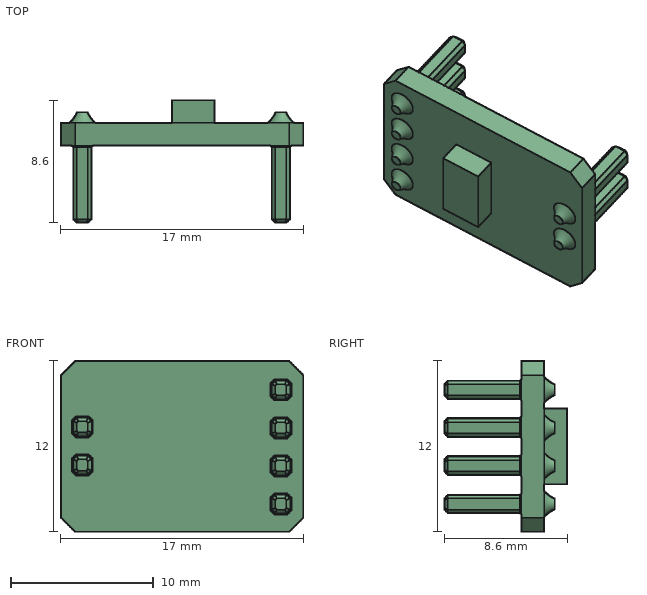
import cadquery as cq

board_length = 17.0
board_height = 12.0
board_thickness = 1.6
board_corner = 1.0
front_y = -board_thickness / 2
back_y = board_thickness / 2

block_length = 3.0
block_depth = 1.6
block_height = 5.32
block_x = 0.78

pin_width = 1.3
pin_length = 5.4
pin_chamfer = 0.25
foot_flare = 0.1
foot_flare_angle = 45

cone_base_radius = 0.92
cone_top_radius = 0.37
cone_height = 0.75
flank_radius = 2.04

pin_pitch = 2.67
left_column_x = -7.0
right_column_x = 6.92
left_column_z = 0.03
right_column_z = -0.03
left_column_count = 2
right_column_count = 4


def column_positions(x, middle_z, count):
    """Points of one vertical column of pins, spread evenly about its middle."""
    lowest_z = middle_z - pin_pitch * (count - 1) / 2
    return [(x, lowest_z + i * pin_pitch) for i in range(count)]


def make_board():
    board = cq.Workplane("XY").box(board_length, board_thickness, board_height)
    return board.edges("|Y").chamfer(board_corner)


def make_block():
    block_y = back_y + block_depth / 2
    block = cq.Workplane("XY").box(block_length, block_depth, block_height)
    return block.translate((block_x, block_y, 0))


def make_pin(x, z):
    """Pin with chamfered edges and tip, and a small flare at its foot."""
    pin_y = front_y - pin_length / 2
    shaft = (
        cq.Workplane("XY")
        .box(pin_width, pin_length, pin_width)
        .edges("|Y")
        .chamfer(pin_chamfer)
    )
    foot = (
        shaft.faces(">Y")
        .wires()
        .toPending()
        .offset2D(foot_flare, "intersection")
        .extrude(-foot_flare, taper=foot_flare_angle, combine=False)
    )
    pin = shaft.faces("<Y").chamfer(pin_chamfer).union(foot)
    return pin.translate((x, pin_y, z))


def make_cone(x, z):
    """Solder cone turned about the pin axis."""
    top_y = back_y + cone_height
    profile = (
        cq.Workplane("XY")
        .moveTo(0, back_y)
        .lineTo(cone_base_radius, back_y)
        .radiusArc((cone_top_radius, top_y), flank_radius)
        .lineTo(0, top_y)
        .close()
    )
    cone = profile.revolve(360, (0, 0, 0), (0, 1, 0))
    return cone.translate((x, 0, z))


result = make_board().union(make_block())
pin_positions = column_positions(left_column_x, left_column_z, left_column_count)
pin_positions += column_positions(right_column_x, right_column_z, right_column_count)
for x, z in pin_positions:
    result = result.union(make_pin(x, z)).union(make_cone(x, z))